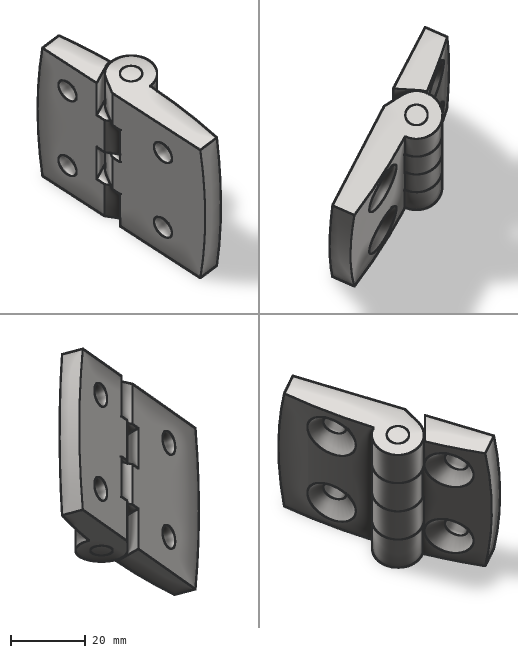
import cadquery as cq
import math

LENGTH = 61.5
DEPTH = 16.0
HEIGHT = 48.0
LEFT_END = -26.0
RIGHT_END = LEFT_END + LENGTH
MIDDLE_X = (LEFT_END + RIGHT_END) / 2
MIDDLE_Z = HEIGHT / 2

CROWN_THICKNESS = 9.0
END_THICKNESS = 6.3
END_BOW = 1.8

KNUCKLE_RADIUS = 7.0
CLEARANCE_RADIUS = 7.3
AXIS_Y = DEPTH - KNUCKLE_RADIUS
KNUCKLE_TOE = 1.4
RECESS_FOOT = 4.3
KNUCKLE_COUNT = 4
KNUCKLE_HEIGHT = HEIGHT / KNUCKLE_COUNT
PIN_DIAMETER = 6.0

HOLE_DIAMETER = 6.6
SINK_DIAMETER = 13.85
SINK_ANGLE = 90.0
SINK_MOUTH_Y = 7.95
HOLE_Z_OFFSET = 14.0
LEFT_HOLE_X = -15.0
RIGHT_HOLE_X = 20.0

LEFT = -1
RIGHT = 1


def xy_sketch(bottom):
    return cq.Workplane("XY").workplane(offset=bottom)


def crowned_blank():
    """Outer shape of both plates: crowned profile trimmed to the bowed outline."""
    profile = (
        xy_sketch(0)
        .moveTo(LEFT_END, 0)
        .lineTo(RIGHT_END, 0)
        .lineTo(RIGHT_END, END_THICKNESS)
        .threePointArc((MIDDLE_X, CROWN_THICKNESS), (LEFT_END, END_THICKNESS))
        .close()
        .extrude(HEIGHT)
    )
    outline = (
        cq.Workplane("XZ")
        .moveTo(LEFT_END + END_BOW, 0)
        .lineTo(RIGHT_END - END_BOW, 0)
        .threePointArc((RIGHT_END, MIDDLE_Z), (RIGHT_END - END_BOW, HEIGHT))
        .lineTo(LEFT_END + END_BOW, HEIGHT)
        .threePointArc((LEFT_END, MIDDLE_Z), (LEFT_END + END_BOW, 0))
        .close()
        .extrude(-DEPTH)
    )
    return profile.intersect(outline)


def tangent_point(foot_x, radius, turn):
    """Point where a line from (foot_x, 0) touches a circle about the knuckle axis."""
    distance = math.hypot(foot_x, AXIS_Y)
    line_length = math.sqrt(distance**2 - radius**2)
    to_axis = math.atan2(AXIS_Y, -foot_x)
    direction = to_axis + turn * math.asin(radius / distance)
    return (foot_x + line_length * math.cos(direction), line_length * math.sin(direction))


def leaf_side(side, foot_x, touch, bottom):
    """Space on one leaf's side of a boundary: foot, tangent point, axis, then straight back."""
    far_x = side * LENGTH
    return (
        xy_sketch(bottom)
        .polyline([(foot_x, 0), touch, (0, AXIS_Y), (0, DEPTH), (far_x, DEPTH), (far_x, 0)])
        .close()
        .extrude(KNUCKLE_HEIGHT)
    )


def axis_cylinder(radius, bottom, height):
    return xy_sketch(bottom).center(0, AXIS_Y).circle(radius).extrude(height)


def knuckle_band(blank, side, bottom):
    """Stretch of a leaf that carries a knuckle running tangent into the plate."""
    foot_x = side * KNUCKLE_TOE
    touch = tangent_point(foot_x, KNUCKLE_RADIUS, side)
    plate = blank.intersect(leaf_side(side, foot_x, touch, bottom))
    return plate.union(axis_cylinder(KNUCKLE_RADIUS, bottom, KNUCKLE_HEIGHT))


def recess_band(blank, side, bottom):
    """Stretch of a leaf hollowed out around a knuckle of the other leaf."""
    foot_x = side * RECESS_FOOT
    touch = tangent_point(foot_x, CLEARANCE_RADIUS, -side)
    plate = blank.intersect(leaf_side(side, foot_x, touch, bottom))
    return plate.cut(axis_cylinder(CLEARANCE_RADIUS, bottom, KNUCKLE_HEIGHT))


def screw_hole(x, z):
    """Cutter for one hole, countersunk from the crowned back."""
    hole_radius = HOLE_DIAMETER / 2
    slope = math.tan(math.radians(SINK_ANGLE / 2))
    sink_start_y = SINK_MOUTH_Y - (SINK_DIAMETER / 2 - hole_radius) / slope
    back_radius = hole_radius + (DEPTH - sink_start_y) * slope
    return (
        cq.Workplane("XY")
        .polyline([(0, 0), (hole_radius, 0), (hole_radius, sink_start_y), (back_radius, DEPTH), (0, DEPTH)])
        .close()
        .revolve(360, (0, 0), (0, 1))
        .translate((x, 0, z))
    )


def make_leaf(side, hole_x, first_knuckle):
    """One hinge leaf; its knuckles fill every second band, counted from the bottom."""
    blank = crowned_blank()
    leaf = cq.Workplane("XY")
    for index in range(KNUCKLE_COUNT):
        bottom = index * KNUCKLE_HEIGHT
        if index % 2 == first_knuckle:
            band = knuckle_band(blank, side, bottom)
        else:
            band = recess_band(blank, side, bottom)
        leaf = leaf.union(band) if index else band
    leaf = leaf.cut(axis_cylinder(PIN_DIAMETER / 2, 0, HEIGHT))
    for offset in (-HOLE_Z_OFFSET, HOLE_Z_OFFSET):
        cutter = screw_hole(hole_x, MIDDLE_Z + offset)
        leaf = leaf.cut(cutter.cut(axis_cylinder(KNUCKLE_RADIUS, 0, HEIGHT)))
    return leaf


left_leaf = make_leaf(LEFT, LEFT_HOLE_X, first_knuckle=0)
right_leaf = make_leaf(RIGHT, RIGHT_HOLE_X, first_knuckle=1)
pin = axis_cylinder(PIN_DIAMETER / 2, 0, HEIGHT)

result = cq.Compound.makeCompound([left_leaf.solids().val(), right_leaf.solids().val(), pin.val()])